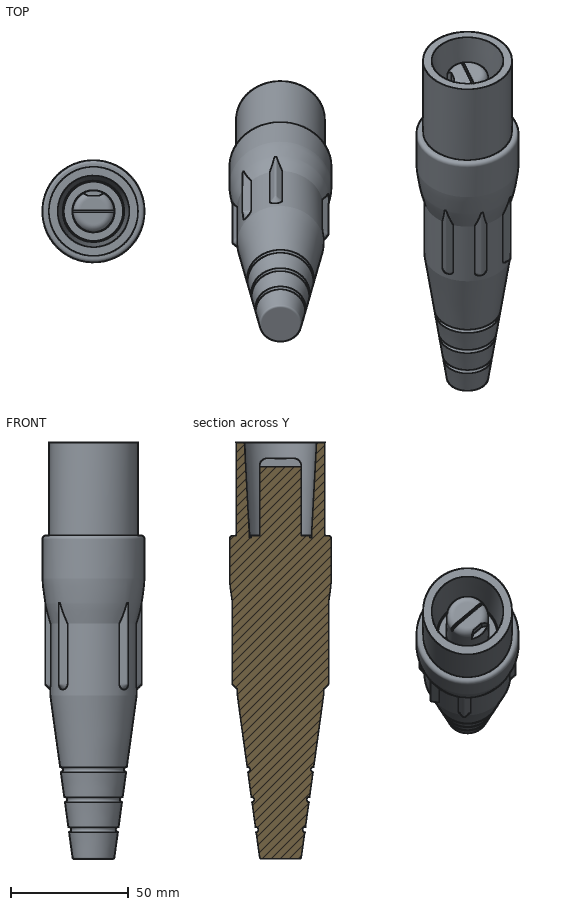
import cadquery as cq
import math

total_height = 177.2

tail_end_radius = 8.9
tail_end_fillet = 0.9
grip_bottom = 69.6
groove_radius = 1.0
groove_spacing = 12.8
groove_count = 3
lowest_groove = 12.5

grip_radius = 18.5
grip_top = 100.1
cone_bulge = 0.5

collar_radius = 21.8
collar_bottom = 119.4
collar_top = 137.7
collar_fillet = 1.6

tube_radius = 19.0
bore_mouth_radius = 15.2
bore_floor_radius = 13.1
bore_floor = collar_top

floor_groove_width = 0.5
floor_groove_depth = 0.9

pin_radius = 8.9
pin_base_radius = 9.0
pin_top = 170.5
pin_flat_radius = 5.7
pin_rounding = pin_radius - pin_flat_radius
slot_width = 0.9
slot_depth = 3.5
notch_floor = 6.5
notch_floor_width = 4.6
notch_mouth_width = 13.5
notch_depth = 7.0

rib_tip_radius = 20.5
rib_tip_round = 0.9
rib_sink = 0.9
rib_end = 74.5
rib_step_angle = 45
rib_angles = [side + step * rib_step_angle for side in (0, 180) for step in (-1, 0, 1)]


def tail_radius(z):
    """Radius of the tail cone at height z."""
    return tail_end_radius + (grip_radius - tail_end_radius) * z / grip_bottom


def make_body():
    """Solid of revolution: tail, grip, bulged cone, collar and tube."""
    body = (
        cq.Workplane("XZ")
        .lineTo(tail_end_radius, 0)
        .lineTo(grip_radius, grip_bottom)
        .lineTo(grip_radius, grip_top)
        .sagittaArc((collar_radius, collar_bottom), -cone_bulge)
        .lineTo(collar_radius, collar_top - collar_fillet)
        .radiusArc((collar_radius - collar_fillet, collar_top), -collar_fillet)
        .lineTo(tube_radius, collar_top)
        .lineTo(tube_radius, total_height)
        .lineTo(0, total_height)
        .close()
        .revolve(360, (0, 0), (0, 1))
    )
    return body.faces("<Z").edges().fillet(tail_end_fillet)


def make_tail_groove(z):
    """Ring of round section that cuts a groove into the tail at height z."""
    return cq.Workplane("XY").add(cq.Solid.makeTorus(tail_radius(z), groove_radius, cq.Vector(0, 0, z)))


def rib_half_section():
    """Half of the rib section on one side of the +X axis: root, 45 degree flank, rounded tip."""
    rib_root = grip_radius - rib_sink
    round_offset = rib_tip_round * math.sqrt(0.5)
    flank_top = rib_tip_radius - rib_tip_round + round_offset
    root_half_width = round_offset + flank_top - rib_root
    return (
        cq.Workplane("XY", origin=(0, 0, rib_end))
        .moveTo(rib_root, 0)
        .lineTo(rib_root, root_half_width)
        .lineTo(flank_top, round_offset)
        .radiusArc((rib_tip_radius, 0), rib_tip_round)
        .close()
    )


def make_rib(angle):
    """Lengthwise rib that fades into the bulged cone at its upper end."""
    half_bar = rib_half_section().extrude(collar_bottom - rib_end)
    rounded_end = rib_half_section().revolve(360, (0, 0), (1, 0))
    rib = half_bar.union(half_bar.mirror("XZ")).union(rounded_end)
    return rib.rotate((0, 0, 0), (0, 0, 1), angle)


def make_socket():
    """Tapered bore plus the narrow groove round its floor."""
    return (
        cq.Workplane("XZ")
        .moveTo(0, bore_floor)
        .lineTo(bore_floor_radius - floor_groove_width, bore_floor)
        .lineTo(bore_floor_radius - floor_groove_width, bore_floor - floor_groove_depth)
        .lineTo(bore_floor_radius, bore_floor - floor_groove_depth)
        .lineTo(bore_floor_radius, bore_floor)
        .lineTo(bore_mouth_radius, total_height)
        .lineTo(0, total_height)
        .close()
        .revolve(360, (0, 0), (0, 1))
    )


def make_pin():
    """Slightly tapered, round-shouldered pin with a cross slot along X and a flared notch on +Y."""
    pin_bottom = bore_floor - floor_groove_depth
    pin = (
        cq.Workplane("XZ")
        .moveTo(0, pin_bottom)
        .lineTo(pin_base_radius, pin_bottom)
        .lineTo(pin_radius, pin_top - pin_rounding)
        .radiusArc((pin_flat_radius, pin_top), -pin_rounding)
        .lineTo(0, pin_top)
        .close()
        .revolve(360, (0, 0), (0, 1))
    )
    top_plane = cq.Workplane("XY", origin=(0, 0, pin_top))
    slot = top_plane.rect(2 * pin_base_radius, slot_width).extrude(-slot_depth)
    notch_outline = [
        (-notch_floor_width / 2, notch_floor),
        (notch_floor_width / 2, notch_floor),
        (notch_mouth_width / 2, pin_base_radius),
        (-notch_mouth_width / 2, pin_base_radius),
    ]
    notch = top_plane.polyline(notch_outline).close().extrude(-notch_depth)
    return pin.cut(slot).cut(notch)


result = make_body()

for rib_angle in rib_angles:
    result = result.union(make_rib(rib_angle))

for groove_index in range(groove_count):
    result = result.cut(make_tail_groove(lowest_groove + groove_index * groove_spacing))

result = result.cut(make_socket()).union(make_pin())